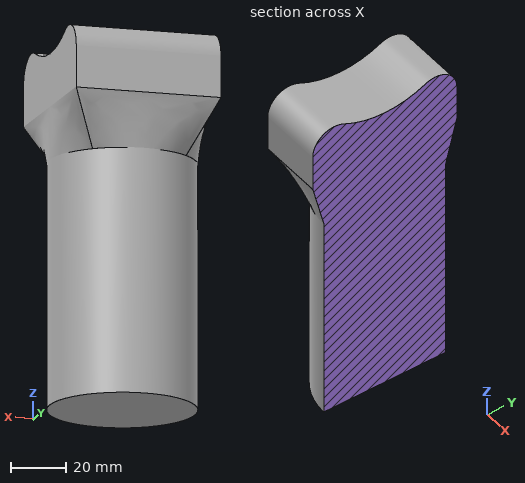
import cadquery as cq
import math

post_diameter = 55.0
post_height = 91.3
total_height = 136.3
head_width = post_diameter
head_depth = 65.0
head_base_z = 111.0
lobe_radius = 9.8
saddle_bottom_z = 131.0

half_depth = head_depth / 2
lobe_y = half_depth - lobe_radius
lobe_z = total_height - lobe_radius
saddle_rise = saddle_bottom_z - lobe_z
saddle_radius = (lobe_y**2 + saddle_rise**2 - lobe_radius**2) / (2 * (lobe_radius - saddle_rise))
saddle_center_z = saddle_bottom_z + saddle_radius
tangent_share = saddle_radius / (saddle_radius + lobe_radius)
tangent_y = lobe_y * tangent_share
tangent_z = saddle_center_z + (lobe_z - saddle_center_z) * tangent_share


def make_post():
    return cq.Workplane("XY").circle(post_diameter / 2).extrude(post_height)


def make_transition():
    """Blend the round post into the rectangular base of the head."""
    return (
        cq.Workplane("XY", origin=(0, 0, post_height))
        .circle(post_diameter / 2)
        .workplane(offset=head_base_z - post_height)
        .rect(head_width, head_depth)
        .loft(ruled=True, combine=True)
    )


def make_head():
    """Saddle profile in the YZ plane, extruded across the head width."""
    diagonal = lobe_radius * math.sqrt(0.5)
    return (
        cq.Workplane("YZ")
        .moveTo(-half_depth, head_base_z)
        .lineTo(half_depth, head_base_z)
        .lineTo(half_depth, lobe_z)
        .threePointArc((lobe_y + diagonal, lobe_z + diagonal), (tangent_y, tangent_z))
        .threePointArc((0, saddle_bottom_z), (-tangent_y, tangent_z))
        .threePointArc((-lobe_y - diagonal, lobe_z + diagonal), (-half_depth, lobe_z))
        .close()
        .extrude(head_width / 2, both=True)
    )


result = make_post().union(make_transition()).union(make_head())